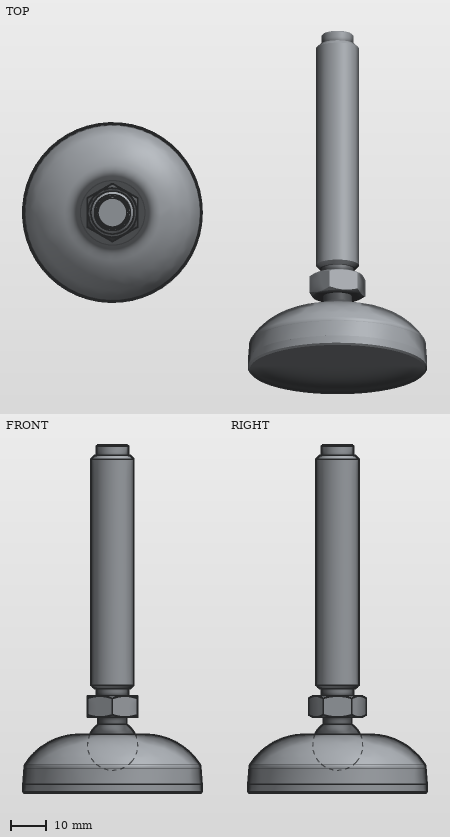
import cadquery as cq
import math

FOOT_DIAMETER = 50.0
PAD_THICKNESS = 2.6
PAD_EDGE_CHAMFER = 0.5
SIDE_TOP_DIAMETER = 49.3
SIDE_TOP_Z = 7.0
DOME_BOTTOM_DIAMETER = 48.8
DOME_BOTTOM_Z = 8.1
SHOULDER_BULGE = 0.08
BASE_TOP_Z = 16.5
TOP_FLAT_DIAMETER = 18.0

BALL_DIAMETER = 14.0
BALL_CENTER_Z = 13.5
SOCKET_MOUTH_DIAMETER = 13.28

NECK_DIAMETER = 8.06
HEX_ACROSS_FLATS = 14.0
HEX_BOTTOM_Z = 21.2
HEX_HEIGHT = 6.0
HEX_SIDES = 6
HEX_CHAMFER_ANGLE = 30.0
HEX_FACE_DIAMETER = 13.7
RELIEF_DIAMETER = 9.0
THREAD_DIAMETER = 12.0
THREAD_BOTTOM_Z = 29.2
THREAD_CHAMFER = 1.0
TIP_DIAMETER = 9.0
TIP_LENGTH = 3.0
TIP_CHAMFER = 0.45
TOTAL_HEIGHT = 97.2

HEX_TOP_Z = HEX_BOTTOM_Z + HEX_HEIGHT
THREAD_TOP_Z = TOTAL_HEIGHT - TIP_LENGTH


def cylinder(diameter, bottom_z, top_z):
    """Upright cylinder on the part's axis."""
    return cq.Workplane("XY").workplane(offset=bottom_z).circle(diameter / 2).extrude(top_z - bottom_z)


def ball():
    """Sphere shared by the spindle's ball and the socket that holds it."""
    return cq.Workplane("XY").sphere(BALL_DIAMETER / 2).translate((0, 0, BALL_CENTER_Z))


def make_pad():
    """Flat anti-slip disc under the base."""
    return cylinder(FOOT_DIAMETER, 0, PAD_THICKNESS).faces("<Z").edges().chamfer(PAD_EDGE_CHAMFER)


def make_base():
    """Domed base with a spherical socket that opens at the top."""
    flat_radius = TOP_FLAT_DIAMETER / 2
    side_radius = SIDE_TOP_DIAMETER / 2
    dome_radius = DOME_BOTTOM_DIAMETER / 2
    shoulder_middle = (
        (side_radius + dome_radius) / 2 + SHOULDER_BULGE,
        (SIDE_TOP_Z + DOME_BOTTOM_Z) / 2 + SHOULDER_BULGE,
    )
    body = (
        cq.Workplane("XZ")
        .moveTo(0, PAD_THICKNESS)
        .lineTo(0, BASE_TOP_Z)
        .lineTo(flat_radius, BASE_TOP_Z)
        .tangentArcPoint((dome_radius, DOME_BOTTOM_Z), relative=False)
        .threePointArc(shoulder_middle, (side_radius, SIDE_TOP_Z))
        .lineTo(FOOT_DIAMETER / 2, PAD_THICKNESS)
        .close()
        .revolve(360, (0, 0, 0), (0, 1, 0))
    )
    mouth_rise = math.sqrt((BALL_DIAMETER / 2) ** 2 - (SOCKET_MOUTH_DIAMETER / 2) ** 2)
    mouth = cylinder(SOCKET_MOUTH_DIAMETER, BALL_CENTER_Z + mouth_rise, BASE_TOP_Z)
    return body.cut(ball()).cut(mouth)


def make_hex():
    """Hexagon with corners along Y, its corners chamfered at both ends."""
    corner_diameter = HEX_ACROSS_FLATS / math.cos(math.pi / HEX_SIDES)
    prism = (
        cq.Workplane("XY")
        .workplane(offset=HEX_BOTTOM_Z)
        .polygon(HEX_SIDES, corner_diameter)
        .extrude(HEX_HEIGHT)
        .rotate((0, 0, 0), (0, 0, 1), 180 / HEX_SIDES)
    )
    chamfer_width = (corner_diameter - HEX_FACE_DIAMETER) / 2
    chamfer_height = chamfer_width * math.tan(math.radians(HEX_CHAMFER_ANGLE))
    envelope = (
        cq.Workplane("XZ")
        .moveTo(0, HEX_BOTTOM_Z)
        .lineTo(HEX_FACE_DIAMETER / 2, HEX_BOTTOM_Z)
        .lineTo(corner_diameter / 2, HEX_BOTTOM_Z + chamfer_height)
        .lineTo(corner_diameter / 2, HEX_TOP_Z - chamfer_height)
        .lineTo(HEX_FACE_DIAMETER / 2, HEX_TOP_Z)
        .lineTo(0, HEX_TOP_Z)
        .close()
        .revolve(360, (0, 0, 0), (0, 1, 0))
    )
    return prism.intersect(envelope)


def make_spindle():
    """Ball, neck, hexagon, relief, threaded shank and tip in one piece."""
    neck = cylinder(NECK_DIAMETER, BALL_CENTER_Z, HEX_BOTTOM_Z)
    relief = cylinder(RELIEF_DIAMETER, HEX_TOP_Z, THREAD_BOTTOM_Z)
    shank = cylinder(THREAD_DIAMETER, THREAD_BOTTOM_Z, THREAD_TOP_Z).edges("%CIRCLE").chamfer(THREAD_CHAMFER)
    tip = cylinder(TIP_DIAMETER, THREAD_TOP_Z, TOTAL_HEIGHT).faces(">Z").edges().chamfer(TIP_CHAMFER)
    return ball().union(neck).union(make_hex()).union(relief).union(shank).union(tip)


pad = make_pad()
base = make_base()
spindle = make_spindle()

result = cq.Compound.makeCompound([pad.val(), base.val(), spindle.val()])